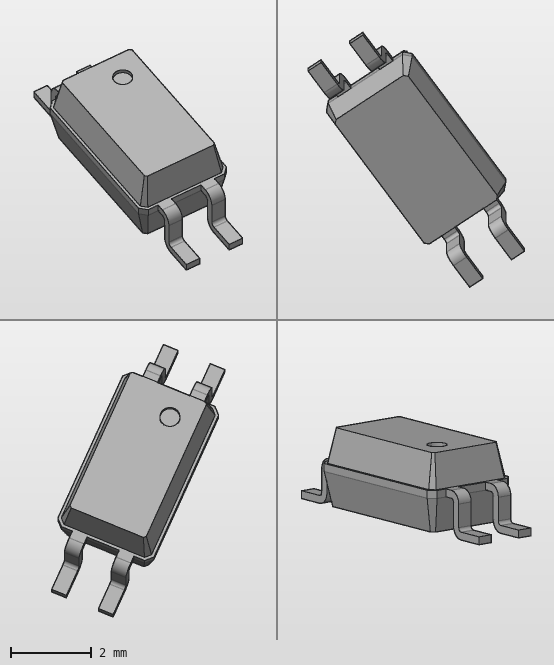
import cadquery as cq

LEAD_SPAN = 7.0
BODY_WIDTH = 2.6
HEIGHT = 2.1

BODY_LENGTH = 4.41
BAND_CORNER = 0.175
BODY_BOTTOM_Z = 0.1

UPPER_BASE_INSET = 0.08
UPPER_BASE_CORNER = 0.13
TOP_INSET = 0.265
TOP_CORNER = 0.055
BOTTOM_INSET = 0.19
BOTTOM_CORNER = 0.09

LEAD_THICKNESS = 0.2
LEAD_WIDTH = 0.4
LEAD_PITCH = 1.27
LEAD_TOP_Z = 1.205
SHANK_OUTER_X = 2.7
INNER_BEND = 0.1
OUTER_BEND = INNER_BEND + LEAD_THICKNESS
LEAD_EMBED = 0.21

BAND_TOP_Z = LEAD_TOP_Z
BAND_BOTTOM_Z = BAND_TOP_Z - LEAD_THICKNESS

MARK_DIAMETER = 0.5
MARK_DEPTH = 0.1
MARK_X = -1.225
MARK_Y = 0.33


def body_section(z, inset, corner):
    """Rectangle with cut corners at height z, set in from the band outline."""
    x = BODY_LENGTH / 2 - inset
    y = BODY_WIDTH / 2 - inset
    points = [
        (x, y - corner),
        (x - corner, y),
        (corner - x, y),
        (-x, y - corner),
        (-x, corner - y),
        (corner - x, -y),
        (x - corner, -y),
        (x, corner - y),
    ]
    return cq.Wire.makePolygon([cq.Vector(px, py, z) for px, py in points], close=True)


def body_block(lower_section, upper_section):
    """Flat-sided solid between two sections."""
    return cq.Workplane(cq.Solid.makeLoft([lower_section, upper_section], True))


def make_body():
    band_bottom = body_section(BAND_BOTTOM_Z, 0, BAND_CORNER)
    band_top = body_section(BAND_TOP_Z, 0, BAND_CORNER)
    bottom_face = body_section(BODY_BOTTOM_Z, BOTTOM_INSET, BOTTOM_CORNER)
    upper_base = body_section(BAND_TOP_Z, UPPER_BASE_INSET, UPPER_BASE_CORNER)
    top_face = body_section(HEIGHT, TOP_INSET, TOP_CORNER)

    lower = body_block(bottom_face, band_bottom)
    band = body_block(band_bottom, band_top)
    upper = body_block(upper_base, top_face)
    return lower.union(band).union(upper)


def make_lead(y):
    """Right-hand lead centred on y, running from inside the body to its foot."""
    root_x = BODY_LENGTH / 2 - LEAD_EMBED
    foot_x = LEAD_SPAN / 2
    shank_inner_x = SHANK_OUTER_X - LEAD_THICKNESS
    shoulder_x = SHANK_OUTER_X - OUTER_BEND
    shoulder_z = LEAD_TOP_Z - OUTER_BEND
    heel_x = SHANK_OUTER_X + INNER_BEND
    heel_z = OUTER_BEND
    return (
        cq.Workplane("XZ", origin=(0, y, 0))
        .moveTo(root_x, LEAD_TOP_Z)
        .lineTo(shoulder_x, LEAD_TOP_Z)
        .radiusArc((SHANK_OUTER_X, shoulder_z), OUTER_BEND)
        .lineTo(SHANK_OUTER_X, heel_z)
        .radiusArc((heel_x, LEAD_THICKNESS), -INNER_BEND)
        .lineTo(foot_x, LEAD_THICKNESS)
        .lineTo(foot_x, 0)
        .lineTo(heel_x, 0)
        .radiusArc((shank_inner_x, heel_z), OUTER_BEND)
        .lineTo(shank_inner_x, shoulder_z)
        .radiusArc((shoulder_x, BAND_BOTTOM_Z), -INNER_BEND)
        .lineTo(root_x, BAND_BOTTOM_Z)
        .close()
        .extrude(LEAD_WIDTH / 2, both=True)
    )


def make_mark():
    return (
        cq.Workplane("XY", origin=(MARK_X, MARK_Y, HEIGHT))
        .circle(MARK_DIAMETER / 2)
        .extrude(-MARK_DEPTH)
    )


result = make_body()
for lead_y in (-LEAD_PITCH / 2, LEAD_PITCH / 2):
    lead = make_lead(lead_y)
    result = result.union(lead).union(lead.mirror("YZ"))
result = result.cut(make_mark())